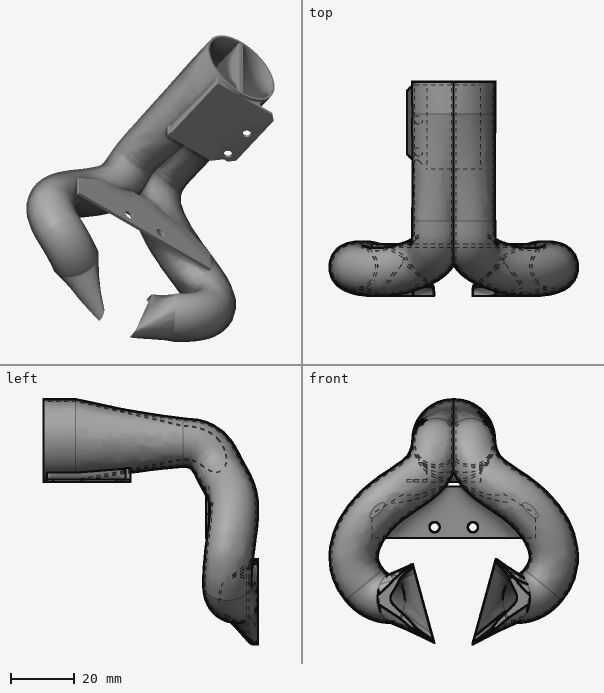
import cadquery as cq
import math


WALL = 0.7
FRONT_Y = -67.2

INLET_RADIUS = 13.0
INLET_LENGTH = 10.1
LOFT_END_Y = -43.7
PIPE_RADIUS = 7.6
CUT_SIZE = 200.0

PIPE_START = cq.Vector(INLET_RADIUS - PIPE_RADIUS, LOFT_END_Y, -0.6)
PIPE_CURVE = [
    cq.Vector(7.7, -54.8, -8.3),
    cq.Vector(21.5, -59.57, -19.4),
    cq.Vector(31.35, -58.1, -36.2),
    cq.Vector(28.0, -57.6, -45.2),
]
NOZZLE_START = cq.Vector(19.4, -61.1, -49.5)

LEFT_MOUTH = ((12.85, -38.65), (6.1, -63.3))
RIGHT_MOUTH = ((13.2, -37.0), (5.8, -63.91))
MOUTH_BACK_Y = -63.6
MOUTH_WIDTH = 5.6
SIDE_ANGLE = math.pi / 2

BRACKET_BOTTOM = -INLET_RADIUS
BRACKET_HALF_WIDTH = 8.3
BRACKET_BACK_Y = -1.06
END_PLATE_BACK_Y = -25.7
BRACKET_FRONT_Y = -27.3
END_PLATE_HALF_WIDTH = 8.6
FLANGE_EDGE_X = -14.7
FLANGE_FRONT_Y = -24.5
FLANGE_THICKNESS = 0.9
FLANGE_CHAMFER = 1.9
FLANGE_NOTCH_X = -11.2
FLANGE_HOLE_DIAMETER = 2.6
FLANGE_HOLE_X = -11.0
FLANGE_HOLE_YS = (-12.0, -22.0)

PLATE_BACK_Y = -50.9
PLATE_THICKNESS = 1.0
PLATE_TOP = -14.35
PLATE_SHOULDER = -23.0
PLATE_BOTTOM = -30.5
PLATE_TOP_HALF_WIDTH = 12.0
PLATE_HALF_WIDTH = 25.6
PLATE_HOLE_DIAMETER = 3.1
PLATE_HOLE_SPACING = 12.0
PLATE_HOLE_Z = -27.1


def clipped_circle(y, centre_x, centre_z, radius, flat_x):
    """Circle on a plane of constant Y, cut off by a vertical chord at flat_x."""
    half_chord = math.sqrt(radius**2 - (centre_x - flat_x) ** 2)
    top = cq.Vector(flat_x, y, centre_z + half_chord)
    bottom = cq.Vector(flat_x, y, centre_z - half_chord)
    outermost = cq.Vector(centre_x + radius, y, centre_z)
    arc = cq.Edge.makeThreePointArc(top, outermost, bottom)
    return cq.Wire.assembleEdges([arc, cq.Edge.makeLine(bottom, top)])


def inlet_pieces(inset):
    """Half-round inlet, and its blend into the round pipe."""
    radius = INLET_RADIUS - inset
    back_end = clipped_circle(0, 0, 0, radius, inset)
    blend_start = clipped_circle(-INLET_LENGTH, 0, 0, radius, inset)
    pipe_end = clipped_circle(
        LOFT_END_Y, PIPE_START.x, PIPE_START.z, PIPE_RADIUS - inset, inset
    )
    straight = cq.Solid.makeLoft([back_end, blend_start], True)
    blend = cq.Solid.makeLoft([blend_start, pipe_end], True)
    return [cq.Workplane(straight), cq.Workplane(blend)]


def pipe_paths():
    """Centre lines of the long curved pipe and of the bend into the nozzle."""
    points = [PIPE_START, *PIPE_CURVE]
    forward = cq.Vector(0, -1, 0)
    curve = cq.Edge.makeSpline(points, tangents=[forward] + [None] * len(PIPE_CURVE))
    bend = cq.Edge.makeTangentArc(points[-1], curve.tangentAt(1), NOZZLE_START)
    return [curve, bend]


def pipe_pieces(inset):
    """Round pipe along both centre lines, kept clear of the middle wall."""
    pieces = []
    for path in pipe_paths():
        section_plane = cq.Plane(path.startPoint(), normal=path.tangentAt(0))
        section = cq.Workplane(section_plane).circle(PIPE_RADIUS - inset)
        pieces.append(section.sweep(cq.Workplane(path)))
    right_of_wall = cq.Workplane("XY").box(CUT_SIZE, CUT_SIZE, CUT_SIZE)
    right_of_wall = right_of_wall.translate((inset + CUT_SIZE / 2, 0, 0))
    return [pieces[0].intersect(right_of_wall), pieces[1]]


def round_section(centre, down, back, radius):
    """Circle in four arcs that pair with the ends and sides of the mouth."""

    def at(angle):
        return centre + back * (radius * math.cos(angle)) + down * (radius * math.sin(angle))

    half = SIDE_ANGLE / 2
    limits = [half - math.pi, -half, half, math.pi - half, half + math.pi]
    arcs = [
        cq.Edge.makeThreePointArc(at(start), at((start + end) / 2), at(end))
        for start, end in zip(limits, limits[1:])
    ]
    return cq.Wire.assembleEdges(arcs)


def mouth_section(top, bottom, down, radius):
    """Slot with two round ends and two straight sides."""
    back = cq.Vector(0, radius, 0)
    top_arc = cq.Edge.makeThreePointArc(top - back, top - down * radius, top + back)
    back_side = cq.Edge.makeLine(top + back, bottom + back)
    bottom_arc = cq.Edge.makeThreePointArc(bottom + back, bottom + down * radius, bottom - back)
    front_side = cq.Edge.makeLine(bottom - back, top - back)
    return cq.Wire.assembleEdges([top_arc, back_side, bottom_arc, front_side])


def nozzle(mouth, inset):
    """Flattening loft from the round pipe to the slot-shaped mouth."""
    radius = MOUTH_WIDTH / 2
    top, bottom = [cq.Vector(x, MOUTH_BACK_Y - radius, z) for x, z in mouth]
    down = (bottom - top).normalized()
    slot = mouth_section(top + down * radius, bottom - down * radius, down, radius - inset)

    flow = pipe_paths()[-1].tangentAt(1)
    start_down = (down - flow * flow.dot(down)).normalized()
    start_back = flow.cross(start_down)
    start = round_section(NOZZLE_START, start_down, start_back, PIPE_RADIUS - inset)
    return cq.Workplane(cq.Solid.makeLoft([start, slot], True))


def front_trim():
    """Everything behind the flat front face."""
    return cq.Workplane("XY").box(CUT_SIZE, CUT_SIZE, CUT_SIZE).translate(
        (0, FRONT_Y + CUT_SIZE / 2, 0)
    )


def bracket():
    """Block under the inlet with an end plate and a drilled side flange."""
    centred = (True, False, False)
    block = (
        cq.Workplane("XY", origin=(0, END_PLATE_BACK_Y, BRACKET_BOTTOM))
        .box(2 * BRACKET_HALF_WIDTH, BRACKET_BACK_Y - END_PLATE_BACK_Y, INLET_RADIUS, centred)
    )
    end_plate = (
        cq.Workplane("XY", origin=(0, BRACKET_FRONT_Y, BRACKET_BOTTOM))
        .box(2 * END_PLATE_HALF_WIDTH, END_PLATE_BACK_Y - BRACKET_FRONT_Y, INLET_RADIUS, centred)
    )
    notch = FLANGE_FRONT_Y - BRACKET_FRONT_Y
    flange = (
        cq.Workplane("XY", origin=(0, 0, BRACKET_BOTTOM))
        .moveTo(0, BRACKET_BACK_Y)
        .lineTo(FLANGE_EDGE_X + FLANGE_CHAMFER, BRACKET_BACK_Y)
        .lineTo(FLANGE_EDGE_X, BRACKET_BACK_Y - FLANGE_CHAMFER)
        .lineTo(FLANGE_EDGE_X, FLANGE_FRONT_Y + FLANGE_CHAMFER)
        .lineTo(FLANGE_EDGE_X + FLANGE_CHAMFER, FLANGE_FRONT_Y)
        .lineTo(FLANGE_NOTCH_X, FLANGE_FRONT_Y)
        .lineTo(FLANGE_NOTCH_X + notch, BRACKET_FRONT_Y)
        .lineTo(0, BRACKET_FRONT_Y)
        .close()
        .extrude(FLANGE_THICKNESS)
    )
    holes = (
        cq.Workplane("XY", origin=(0, 0, BRACKET_BOTTOM))
        .pushPoints([(FLANGE_HOLE_X, y) for y in FLANGE_HOLE_YS])
        .circle(FLANGE_HOLE_DIAMETER / 2)
        .extrude(FLANGE_THICKNESS)
    )
    return block.union(end_plate).union(flange.cut(holes))


def tie_plate():
    """Flat six-sided plate with two screw holes."""
    outline = [
        (-PLATE_HALF_WIDTH, PLATE_BOTTOM),
        (-PLATE_HALF_WIDTH, PLATE_SHOULDER),
        (-PLATE_TOP_HALF_WIDTH, PLATE_TOP),
        (PLATE_TOP_HALF_WIDTH, PLATE_TOP),
        (PLATE_HALF_WIDTH, PLATE_SHOULDER),
        (PLATE_HALF_WIDTH, PLATE_BOTTOM),
    ]
    plate = cq.Workplane("XZ", origin=(0, PLATE_BACK_Y, 0)).polyline(outline).close()
    plate = plate.extrude(PLATE_THICKNESS)
    holes = (
        cq.Workplane("XZ", origin=(0, PLATE_BACK_Y, PLATE_HOLE_Z))
        .pushPoints([(-PLATE_HOLE_SPACING / 2, 0), (PLATE_HOLE_SPACING / 2, 0)])
        .circle(PLATE_HOLE_DIAMETER / 2)
        .extrude(PLATE_THICKNESS)
    )
    return plate.cut(holes)


def hollow_branch():
    """Inlet and pipe of the right side as one hollow shell, without a nozzle."""
    outer = inlet_pieces(0) + pipe_pieces(0)
    inner = inlet_pieces(WALL) + pipe_pieces(WALL)
    shells = [filled.cut(hollow) for filled, hollow in zip(outer, inner)]
    whole = shells[0]
    for shell in shells[1:]:
        whole = whole.union(shell, glue=True)
    return whole.intersect(front_trim())


def hollow_nozzle(mouth):
    """Nozzle of the right side, cut flat at the front."""
    return nozzle(mouth, 0).cut(nozzle(mouth, WALL)).intersect(front_trim())


def clear_of(mounts, pieces):
    """Cut filled branch pieces of both sides away so that the mounts start at the skins."""
    for piece in pieces:
        mounts = mounts.cut(piece).cut(piece.mirror("YZ"))
    return mounts


branch = hollow_branch()
right_duct = branch.union(hollow_nozzle(RIGHT_MOUTH), glue=True)
left_branch = branch.union(hollow_nozzle(LEFT_MOUTH), glue=True).mirror("YZ")
inlet_bracket = clear_of(bracket(), inlet_pieces(0))
pipe_plate = clear_of(tie_plate(), pipe_pieces(0)[:1])
left_duct = left_branch.union(inlet_bracket).union(pipe_plate)

result = cq.Compound.makeCompound([left_duct.val(), right_duct.val()])